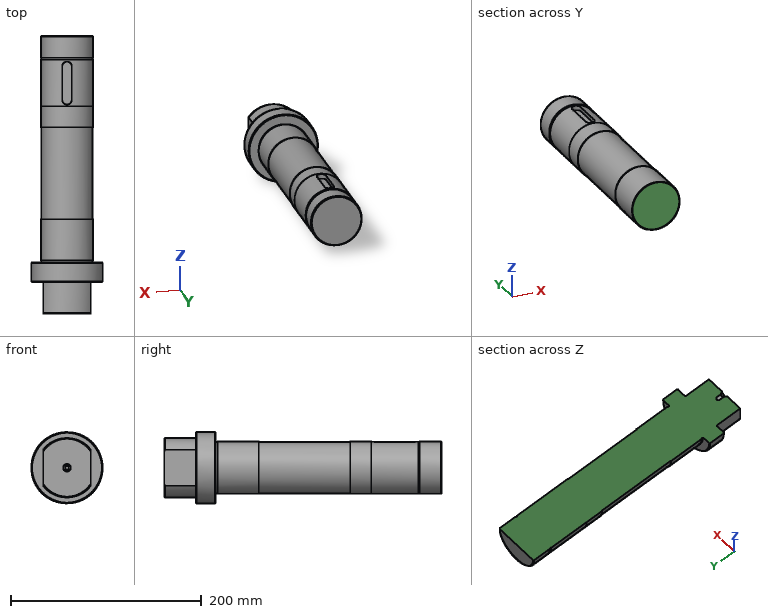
import cadquery as cq
import math

total_length = 291.0
tail_length = 33.0
flange_width = 21.0
undercut_width = 2.0
seat_length = 43.0
body_length = 96.0
small_seat_length = 22.0
ring_groove_width = 2.0
end_seat_length = 23.0

tail_diameter = 62.5
flange_diameter = 75.0
seat_diameter = 55.0
key_section_diameter = 54.9
relief_diameter = 54.0

tail_flats_width = 50.0
tail_chamfer = 1.0
flange_chamfer = 1.0
end_chamfer = 1.0

key_width = 10.0
key_length = 45.0
key_depth = 5.0

center_hole_diameter = 4.0
center_hole_depth = 10.0
drill_point_angle = 118.0
countersink_diameter = 8.0
countersink_angle = 60.0

flange_end = tail_length + flange_width
undercut_end = flange_end + undercut_width
seat_end = undercut_end + seat_length
body_end = seat_end + body_length
key_section_start = body_end + small_seat_length
end_seat_start = total_length - end_seat_length
ring_groove_start = end_seat_start - ring_groove_width


def cylinder(diameter, start, end):
    """Solid cylinder on the Y axis from start to end."""
    plane = cq.Plane(origin=(0, start, 0), xDir=(1, 0, 0), normal=(0, 1, 0))
    return cq.Workplane(plane).circle(diameter / 2).extrude(end - start)


def make_tail():
    """Tail with a chamfered round end and two flats facing -X and +X."""
    round_tail = cylinder(tail_diameter, 0, tail_length).faces("<Y").chamfer(tail_chamfer)
    flats = cq.Workplane("XY").box(tail_flats_width, 2 * tail_length, tail_diameter)
    return round_tail.intersect(flats)


def make_flange():
    """Flange with both rims chamfered."""
    return cylinder(flange_diameter, tail_length, flange_end).edges().chamfer(flange_chamfer)


def make_shaft():
    """Stepped shaft from the flange to the keyed end."""
    steps = [
        (relief_diameter, flange_end, undercut_end),
        (seat_diameter, undercut_end, seat_end),
        (relief_diameter, seat_end, body_end),
        (seat_diameter, body_end, key_section_start),
        (key_section_diameter, key_section_start, ring_groove_start),
        (relief_diameter, ring_groove_start, end_seat_start),
    ]
    shaft = cylinder(seat_diameter, end_seat_start, total_length).faces(">Y").chamfer(end_chamfer)
    for diameter, start, end in steps:
        shaft = shaft.union(cylinder(diameter, start, end))
    return shaft


def make_keyway():
    """Round-ended keyway cutter, centred on the key section and opening to +Z."""
    key_center = (key_section_start + ring_groove_start) / 2
    floor = key_section_diameter / 2 - key_depth
    return (
        cq.Workplane("XY", origin=(0, key_center, floor))
        .slot2D(key_length, key_width, 90)
        .extrude(2 * key_depth)
    )


def make_center_hole():
    """Countersunk center hole cutter in the tail end face."""
    countersink_radius = countersink_diameter / 2
    cone_depth = (countersink_diameter - center_hole_diameter) / 2
    cone_depth /= math.tan(math.radians(countersink_angle / 2))
    hole_radius = center_hole_diameter / 2
    point_depth = hole_radius / math.tan(math.radians(drill_point_angle / 2))
    return (
        cq.Workplane("XY")
        .polyline([
            (0, 0),
            (countersink_radius, 0),
            (hole_radius, cone_depth),
            (hole_radius, center_hole_depth),
            (0, center_hole_depth + point_depth),
        ])
        .close()
        .revolve(360, (0, 0, 0), (0, 1, 0))
    )


result = make_shaft().union(make_flange()).union(make_tail())
result = result.cut(make_keyway()).cut(make_center_hole())